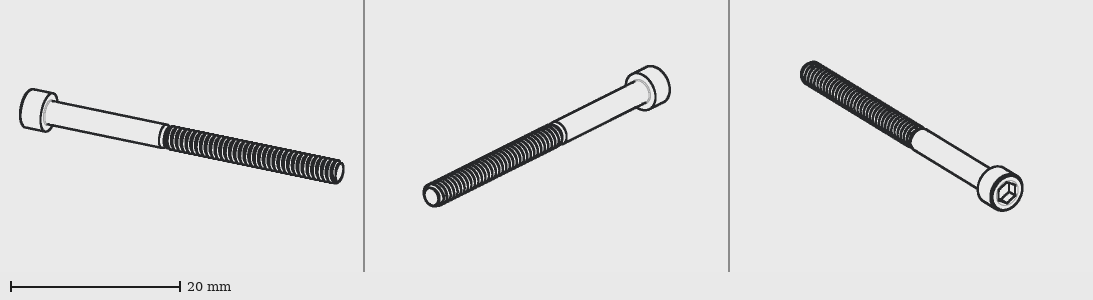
import cadquery as cq
import math

head_diameter = 4.648
head_height = 2.794
head_chamfer = 0.18
under_head_fillet = 0.12

socket_across_flats = 2.38
socket_depth = 1.3
socket_point_angle = 140.0
countersink_diameter = 3.14
countersink_depth = 0.1

under_head_length = 38.1
shank_diameter = 2.845
taper_start = 17.9
taper_length = 0.5
taper_end_radius = 1.2

thread_pitch = 0.635
thread_depth = 0.389
crest_width = thread_pitch / 10
flank_half_angle = 30.0
first_crest_x = 18.695
lead_in_turns = 1
run_in_radius = 1.17
run_in_length = 0.4
tip_radius = 1.12

ridge_overlap = 0.03
limit_clearance = 0.05
end_overrun = thread_pitch

overall_length = head_height + under_head_length
head_radius = head_diameter / 2
shank_radius = shank_diameter / 2
core_radius = shank_radius - thread_depth
limit_radius = shank_radius + limit_clearance
taper_end = taper_start + taper_length
hexagon_half_angle = 180.0 / 6


def make_blank():
    """Head, plain shank and run-out taper turned about the X axis."""
    arc_offset = under_head_fillet * (1 - math.sqrt(0.5))
    profile = (
        cq.Workplane("XZ")
        .moveTo(0, 0)
        .lineTo(0, head_radius - head_chamfer)
        .lineTo(head_chamfer, head_radius)
        .lineTo(head_height, head_radius)
        .lineTo(head_height, shank_radius + under_head_fillet)
        .threePointArc(
            (head_height + arc_offset, shank_radius + arc_offset),
            (head_height + under_head_fillet, shank_radius),
        )
        .lineTo(taper_start, shank_radius)
        .lineTo(taper_end, taper_end_radius)
        .lineTo(taper_end, 0)
        .close()
    )
    return profile.revolve(360, (0, 0, 0), (1, 0, 0))


def make_thread_ridge():
    """Right-hand helical ridge, running on past the tip."""
    base_radius = core_radius - ridge_overlap
    flank_run = (shank_radius - base_radius) * math.tan(math.radians(flank_half_angle))
    half_crest = crest_width / 2
    half_base = half_crest + flank_run
    start = first_crest_x - lead_in_turns * thread_pitch
    length = overall_length + end_overrun - start
    helix = cq.Wire.makeHelix(thread_pitch, length, base_radius)
    ridge = (
        cq.Workplane("XZ")
        .polyline(
            [
                (base_radius, -half_base),
                (shank_radius, -half_crest),
                (shank_radius, half_crest),
                (base_radius, half_base),
            ]
        )
        .close()
        .sweep(cq.Workplane(obj=helix), isFrenet=True)
    )
    return ridge.rotate((0, 0, 0), (1, 1, 1), 120).translate((start, 0, 0))


def make_thread_envelope():
    """Turned outline that bounds the thread: run-in slope, clearance cylinder and tip chamfer."""
    return (
        cq.Workplane("XZ")
        .moveTo(taper_start, 0)
        .lineTo(taper_start, run_in_radius)
        .lineTo(taper_end, run_in_radius)
        .lineTo(taper_end + run_in_length, limit_radius)
        .lineTo(overall_length - (limit_radius - tip_radius), limit_radius)
        .lineTo(overall_length, tip_radius)
        .lineTo(overall_length, 0)
        .close()
        .revolve(360, (0, 0, 0), (1, 0, 0))
    )


def make_threaded_rod():
    """Core and ridge trimmed to the thread envelope."""
    core_x = taper_start - end_overrun
    core = (
        cq.Workplane("YZ", origin=(core_x, 0, 0))
        .circle(core_radius)
        .extrude(overall_length + 2 * end_overrun - core_x)
    )
    return core.union(make_thread_ridge()).intersect(make_thread_envelope())


def make_socket():
    """Hexagon with two corners on the Z axis, a conical bottom and a countersink."""
    across_corners = socket_across_flats / math.cos(math.radians(hexagon_half_angle))
    corner_radius = across_corners / 2
    point_depth = corner_radius / math.tan(math.radians(socket_point_angle / 2))
    hexagon = (
        cq.Workplane("YZ")
        .polygon(6, across_corners)
        .extrude(socket_depth + point_depth)
        .rotate((0, 0, 0), (1, 0, 0), hexagon_half_angle)
    )
    pointed_drill = (
        cq.Workplane("XZ")
        .polyline(
            [
                (0, 0),
                (0, corner_radius),
                (socket_depth, corner_radius),
                (socket_depth + point_depth, 0),
            ]
        )
        .close()
        .revolve(360, (0, 0, 0), (1, 0, 0))
    )
    rim_radius = countersink_diameter / 2
    countersink_tip = countersink_depth * rim_radius / (rim_radius - socket_across_flats / 2)
    countersink = (
        cq.Workplane("XZ")
        .polyline([(0, 0), (0, rim_radius), (countersink_tip, 0)])
        .close()
        .revolve(360, (0, 0, 0), (1, 0, 0))
    )
    return hexagon.intersect(pointed_drill).union(countersink)


result = make_blank().cut(make_socket()).union(make_threaded_rod())